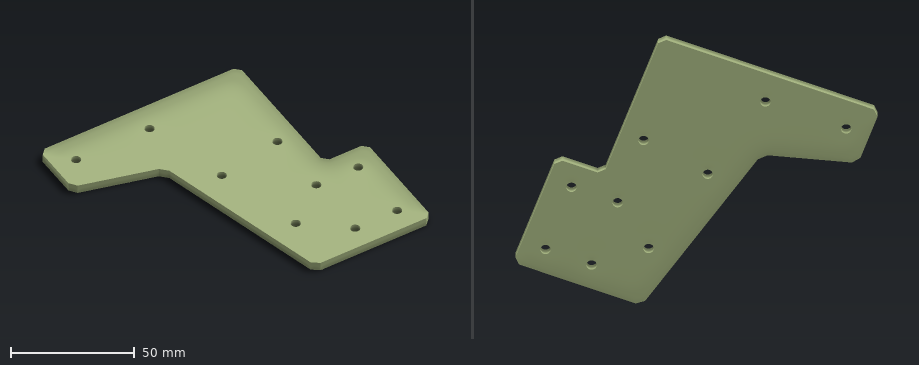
import cadquery as cq
import math

length = 115.9
width = 115.0
thickness = 4.0
corner_chamfer = 2.5

foot_width = 24.9
inner_corner_y = 38.0
slant_angle = 15.0
step_x = 65.8
step_y = 94.8

hole_diameter = 4.2
grid_right_x = 105.8
grid_top_y = 104.9
grid_pitch_x = 30.0
grid_pitch_y = 19.9
leg_hole_x = 12.2
leg_hole_heights = (10.0, 44.8)
slant_holes = [(51.0, 55.3), (90.7, 65.9)]


def make_plate():
    """Extrude the sharp outline and bevel every corner, inner ones included."""
    slope = math.tan(math.radians(slant_angle))
    inner_corner_x = foot_width + inner_corner_y * slope
    arm_end_y = inner_corner_y + (length - inner_corner_x) * slope
    outline = [
        (0, 0),
        (foot_width, 0),
        (inner_corner_x, inner_corner_y),
        (length, arm_end_y),
        (length, width),
        (step_x, width),
        (step_x, step_y),
        (0, step_y),
    ]
    plate = cq.Workplane("XY").polyline(outline).close().extrude(thickness)
    return plate.edges("|Z").chamfer(corner_chamfer)


def hole_centers():
    """Two holes in the upper row, three in the row below, then leg and slanted-edge holes."""
    upper_row = [(grid_right_x - i * grid_pitch_x, grid_top_y) for i in range(2)]
    lower_row = [(grid_right_x - i * grid_pitch_x, grid_top_y - grid_pitch_y) for i in range(3)]
    leg_holes = [(leg_hole_x, y) for y in leg_hole_heights]
    return upper_row + lower_row + leg_holes + slant_holes


hole_cutters = (
    cq.Workplane("XY")
    .pushPoints(hole_centers())
    .circle(hole_diameter / 2)
    .extrude(thickness)
)
result = make_plate().cut(hole_cutters)